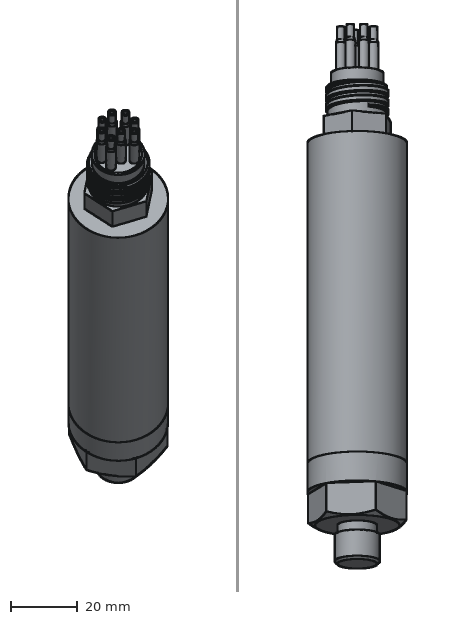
import cadquery as cq
import math


total_height = 166.0
relief_bottom_z = 9.0
wrench_bottom_z = 12.0
wrench_top_z = 22.0
tube_bottom_z = 31.0
tube_top_z = 130.5
flange_top_z = 138.0
thread_bottom_z = 139.8
thread_top_z = 148.0
sleeve_top_z = 152.0
barrel_top_z = 162.0

body_diameter = 30.0
wrench_flats = 26.0
wrench_turn = 0
wrench_chamfer_width = 2.3
wrench_chamfer_height = 1.3
port_diameter = 13.6
relief_diameter = 12.0
port_chamfer = 0.8

flange_flats = 19.0
flange_turn = 30
neck_diameter = 18.0
sleeve_diameter = 16.0
thread_diameter = 19.0
thread_blank_diameter = 19.3
thread_chamfer = 0.8

thread_pitch = 3.0
ridge_crest_width = 1.3
ridge_foot_width = 2.3
ridge_foot_sink = 0.2
ridge_start_z = 139.5
ridge_start_angle = 180

insert_diameter = 14.3
outer_contact_count = 7
contact_spacing = 45.0
contact_circle_radius = 5.3
inner_contact_x = 2.3
barrel_diameter = 3.0
tip_diameter = 2.3
cup_diameter = 1.3
barrel_chamfer_height = 1.0
barrel_chamfer_width = (barrel_diameter - tip_diameter) / 2


def cylinder(diameter, bottom_z, top_z):
    """Round bar on the Z axis between two heights."""
    return cq.Workplane("XY").workplane(offset=bottom_z).circle(diameter / 2).extrude(top_z - bottom_z)


def hexagon(flats, bottom_z, top_z, turn):
    """Hexagonal prism; with no turn its corners point along +X and -X."""
    sides = 6
    corners = flats / math.cos(math.pi / sides)
    prism = cq.Workplane("XY").polygon(sides, corners).extrude(top_z - bottom_z)
    return prism.rotate((0, 0, 0), (0, 0, 1), turn).translate((0, 0, bottom_z))


def make_fitting():
    """Threaded port, wrench hexagon and round collar, turned from one bar."""
    turned_bar = cylinder(body_diameter, wrench_bottom_z, wrench_top_z)
    turned_bar = turned_bar.faces("<Z").chamfer(wrench_chamfer_height, wrench_chamfer_width)
    wrench = hexagon(wrench_flats, wrench_bottom_z, wrench_top_z, wrench_turn).intersect(turned_bar)
    collar = cylinder(body_diameter, wrench_top_z, tube_bottom_z)
    port = cylinder(port_diameter, 0, relief_bottom_z).faces("<Z").chamfer(port_chamfer)
    relief = cylinder(relief_diameter, relief_bottom_z, wrench_bottom_z)
    return collar.union(wrench).union(relief).union(port)


def make_housing():
    """Cylindrical housing tube, plain and solid throughout."""
    return cylinder(body_diameter, tube_bottom_z, tube_top_z)


def make_thread_ridge():
    """Right-handed helical ridge that starts at the foot of the thread and runs out past its top."""
    foot_radius = neck_diameter / 2 - ridge_foot_sink
    crest_radius = thread_diameter / 2
    height = thread_top_z + thread_pitch - ridge_start_z
    path = cq.Workplane(cq.Wire.makeHelix(thread_pitch, height, foot_radius))
    profile = [
        (foot_radius, -ridge_foot_width / 2),
        (crest_radius, -ridge_crest_width / 2),
        (crest_radius, ridge_crest_width / 2),
        (foot_radius, ridge_foot_width / 2),
    ]
    ridge = cq.Workplane("XZ").polyline(profile).close().sweep(path, isFrenet=True)
    return ridge.rotate((0, 0, 0), (0, 0, 1), ridge_start_angle).translate((0, 0, ridge_start_z))


def make_threaded_neck():
    """Neck and thread, with both ends of the thread trimmed flat and the top edge chamfered."""
    overrun = 2 * thread_pitch
    ridged_neck = cylinder(neck_diameter, flange_top_z, thread_top_z + overrun).union(make_thread_ridge())
    plain_neck = cylinder(neck_diameter, flange_top_z, thread_bottom_z)
    blank = cylinder(thread_blank_diameter, thread_bottom_z, thread_top_z).faces(">Z").chamfer(thread_chamfer)
    return ridged_neck.intersect(blank).union(plain_neck)


def make_shell():
    """Hexagonal flange, threaded neck and plain sleeve, bored through for the insert."""
    flange = hexagon(flange_flats, tube_top_z, flange_top_z, flange_turn)
    sleeve = cylinder(sleeve_diameter, thread_top_z, sleeve_top_z)
    bore = cylinder(insert_diameter, tube_top_z, sleeve_top_z)
    return flange.union(make_threaded_neck()).union(sleeve).cut(bore)


def make_contact(x, y):
    """Stepped contact pin whose thinner end is bored as a solder cup."""
    barrel = cylinder(barrel_diameter, sleeve_top_z, barrel_top_z)
    barrel = barrel.faces(">Z").chamfer(barrel_chamfer_height, barrel_chamfer_width)
    tip = cylinder(tip_diameter, sleeve_top_z, total_height)
    cup = cylinder(cup_diameter, barrel_top_z, total_height)
    return barrel.union(tip).cut(cup).translate((x, y, 0))


def make_insert():
    """Round insert that carries seven contacts on a circle and one near the middle."""
    insert = cylinder(insert_diameter, tube_top_z, sleeve_top_z)
    for index in range(outer_contact_count):
        angle = math.radians(contact_spacing * (index + 1))
        x = contact_circle_radius * math.cos(angle)
        y = contact_circle_radius * math.sin(angle)
        insert = insert.union(make_contact(x, y))
    return insert.union(make_contact(inner_contact_x, 0))


fitting = make_fitting()
housing = make_housing()
shell = make_shell()
insert = make_insert()

result = cq.Compound.makeCompound([fitting.val(), housing.val(), shell.val(), insert.val()])